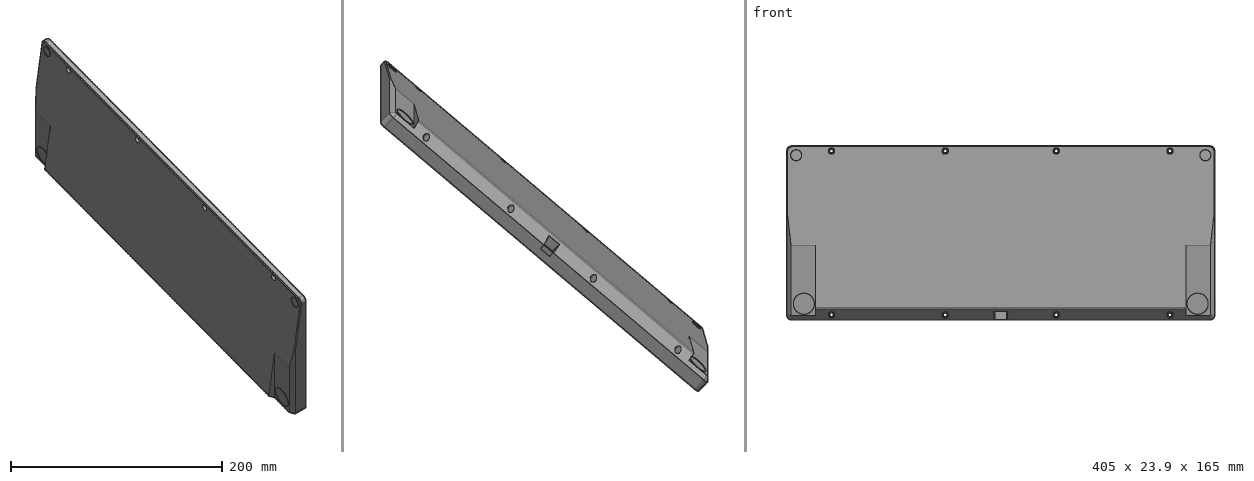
import cadquery as cq
import math

WIDTH = 405.0
DEPTH = 23.95
HEIGHT = 165.0
CORNER_RADIUS = 5.0

BASE_DEPTH = 13.1
BEVEL_ANGLE = 45.0
SLOPE_ANGLE = 6.5
RIDGE_FILLET = 2.5
FRONT_CHAMFER = 1.0
BACK_FILLET = 1.0

SIDE_BEVEL = 4.2
SEAT_DEPTH = BASE_DEPTH + SIDE_BEVEL
SEAT_WIDTH = 27.5

LOWER_FOOT_DIAMETER = 20.0
LOWER_FOOT_INSET_X = 16.3
LOWER_FOOT_Z = 15.5
UPPER_FOOT_DIAMETER = 10.5
UPPER_FOOT_INSET = 9.0
FOOT_RECESS = 0.5

SCREW_DIAMETER = 3.4
SCREW_HEAD_DIAMETER = 6.0
SCREW_FLOOR = 3.0
SCREW_X = (-160.0, -52.5, 52.5, 160.0)
SCREW_INSET_Z = 5.0

PORT_FLOOR_WIDTH = 11.0
PORT_MOUTH_WIDTH = 13.4
PORT_BOTTOM = 0.6
PORT_TOP = 8.0
PORT_FLOOR = 8.0

slope = math.radians(SLOPE_ANGLE)
bevel = math.radians(BEVEL_ANGLE)
RIDGE_REACH = (math.sin(bevel) + math.sin(slope)) / math.sin(bevel + slope)
RIDGE_DEPTH = DEPTH + RIDGE_FILLET * (RIDGE_REACH - 1)
RIDGE_Z = (RIDGE_DEPTH - BASE_DEPTH) * math.tan(bevel)
HALF_WIDTH = WIDTH / 2


def front_depth(z):
    """Distance from the back face to the sloping front at height z."""
    return RIDGE_DEPTH - (z - RIDGE_Z) * math.tan(slope)


def rod(diameter, x, z, start, end):
    """Cylinder along Y between two distances from the back face."""
    return (
        cq.Workplane("XZ", origin=(0, -start, 0))
        .center(x, z)
        .circle(diameter / 2)
        .extrude(end - start)
    )


def make_wedge():
    """Side profile across the full width, with the ridge rounded."""
    profile = [
        (0, 0),
        (-BASE_DEPTH, 0),
        (-RIDGE_DEPTH, RIDGE_Z),
        (-front_depth(HEIGHT), HEIGHT),
        (0, HEIGHT),
    ]
    wedge = cq.Workplane("YZ").polyline(profile).close().extrude(HALF_WIDTH, both=True)
    ridge = cq.selectors.NearestToPointSelector((0, -RIDGE_DEPTH, RIDGE_Z))
    return wedge.edges(ridge).fillet(RIDGE_FILLET)


def make_rounded_plate(depth):
    """Plate with the full outline, rounded corners and a filleted back edge."""
    plate = cq.Workplane("XZ").center(0, HEIGHT / 2).rect(WIDTH, HEIGHT).extrude(depth)
    return plate.edges("|Y").fillet(CORNER_RADIUS).faces(">Y").edges().fillet(BACK_FILLET)


def make_outer_limits():
    """Plate bevelled down to the foot seats, with the deeper middle between the seats."""
    plate = make_rounded_plate(SEAT_DEPTH).faces("<Y").chamfer(SIDE_BEVEL)
    middle = (
        cq.Workplane("XZ", origin=(0, -BASE_DEPTH / 2, HEIGHT / 2))
        .rect(WIDTH - 2 * SEAT_WIDTH, HEIGHT)
        .extrude(DEPTH - BASE_DEPTH / 2)
    )
    return plate.union(middle)


def make_slope_limits():
    """Slab whose front face is the slope, chamfered along its top edge and sides."""
    reach = front_depth(0)
    slab = make_rounded_plate(reach)
    wedge = (
        cq.Workplane("YZ")
        .polyline([(0, 0), (-reach, 0), (-front_depth(HEIGHT), HEIGHT), (0, HEIGHT)])
        .close()
        .extrude(HALF_WIDTH, both=True)
    )
    slab = slab.intersect(wedge)
    front = cq.selectors.NearestToPointSelector((0, -front_depth(HEIGHT / 2), HEIGHT / 2))
    return slab.faces(front).edges("not <Z").chamfer(FRONT_CHAMFER)


def cut_feet(body):
    lower_x = HALF_WIDTH - LOWER_FOOT_INSET_X
    upper_x = HALF_WIDTH - UPPER_FOOT_INSET
    upper_z = HEIGHT - UPPER_FOOT_INSET
    for side in (-1, 1):
        lower = rod(
            LOWER_FOOT_DIAMETER, side * lower_x, LOWER_FOOT_Z, SEAT_DEPTH - FOOT_RECESS, DEPTH
        )
        upper = (
            rod(UPPER_FOOT_DIAMETER, 0, 0, -FOOT_RECESS, FOOT_RECESS)
            .rotate((0, 0, 0), (1, 0, 0), -SLOPE_ANGLE)
            .translate((side * upper_x, -front_depth(upper_z), upper_z))
        )
        body = body.cut(lower).cut(upper)
    return body


def cut_screws(body):
    for z in (SCREW_INSET_Z, HEIGHT - SCREW_INSET_Z):
        for x in SCREW_X:
            body = body.cut(rod(SCREW_DIAMETER, x, z, 0, DEPTH))
            body = body.cut(rod(SCREW_HEAD_DIAMETER, x, z, SCREW_FLOOR, DEPTH))
    return body


def cut_port(body):
    """Pocket that widens toward its mouth, with a floor parallel to the sloping front."""
    mouth_depth = BASE_DEPTH + PORT_TOP / math.tan(bevel)
    floor_top = PORT_FLOOR - PORT_TOP * math.tan(slope)
    plan = [
        (-PORT_FLOOR_WIDTH / 2, -floor_top),
        (PORT_FLOOR_WIDTH / 2, -floor_top),
        (PORT_MOUTH_WIDTH / 2, -mouth_depth),
        (-PORT_MOUTH_WIDTH / 2, -mouth_depth),
    ]
    port = (
        cq.Workplane("XY", origin=(0, 0, PORT_BOTTOM))
        .polyline(plan)
        .close()
        .extrude(PORT_TOP - PORT_BOTTOM)
    )
    floor_bottom = PORT_FLOOR - PORT_BOTTOM * math.tan(slope)
    depth_profile = [
        (-floor_bottom, PORT_BOTTOM),
        (-mouth_depth, PORT_BOTTOM),
        (-mouth_depth, PORT_TOP),
        (-floor_top, PORT_TOP),
    ]
    depth_limit = cq.Workplane("YZ").polyline(depth_profile).close().extrude(PORT_MOUTH_WIDTH, both=True)
    return body.cut(port.intersect(depth_limit))


body = make_wedge().intersect(make_outer_limits()).intersect(make_slope_limits())
body = cut_feet(body)
body = cut_screws(body)
result = cut_port(body)